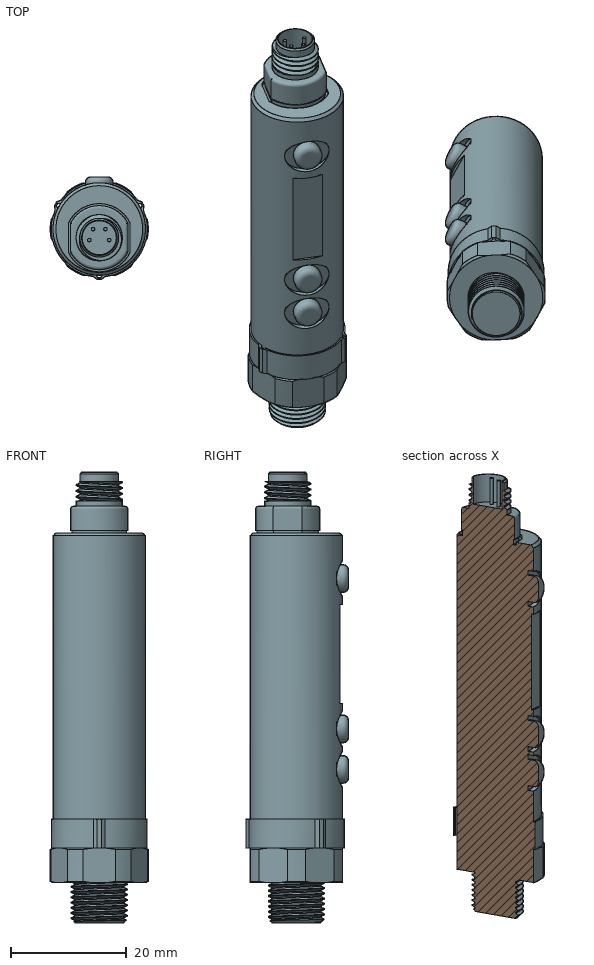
import cadquery as cq
import math

TOTAL_HEIGHT = 78.0
HEX_BOTTOM = 7.0
HEX_TOP = 13.0
RING_TOP = 18.0
BODY_TOP = 67.5
CONNECTOR_NUT_TOP = 72.1
M8_COLLAR_TOP = 73.0
CONNECTOR_THREAD_TOP = 76.4

PIPE_CREST_RADIUS = 4.864
PIPE_ROOT_RADIUS = 4.283
PIPE_PITCH = 0.907
PIPE_END_CHAMFER = 0.75
PIPE_START_ANGLE = 200.0

BODY_RADIUS = 8.0

HEX_ACROSS_FLATS = 16.0
HEX_CORNER_RADIUS = 8.49
HEX_CHAMFER_HEIGHT = 0.25
HEX_END_RADIUS = 8.05
RING_RADIUS = 8.3
RIB_TIP_RADIUS = 8.72
BAND_THICKNESS = RING_RADIUS - BODY_RADIUS
RIB_BASE_WIDTH = 2.16
RIB_TIP_WIDTH = 0.76
RIB_ANGLES = (30, 150, 270)

BODY_CHAMFER = 0.5
WINDOW_BOTTOM = 38.0
WINDOW_TOP = 55.1
WINDOW_PLANE_Y = 7.55

BUTTON_HEIGHTS = (26.6, 33.6, 59.6)
BUTTON_RADIUS = 2.4
BUTTON_TOP_Y = BODY_RADIUS + 1.02
BUTTON_FILLET = 0.95
POCKET_HALF_WIDTH = 3.95
POCKET_HALF_HEIGHT = 3.15
POCKET_FLOOR_Y = 6.9

CONNECTOR_Y = -1.5
NUT_RADIUS = 5.55
NUT_ACROSS_FLATS = 9.9
NUT_FILLET = 0.5
NUT_NECK_INSET = 0.2
NUT_NECK_HEIGHT = 0.4
NUT_CLEARANCE = 0.35
NUT_RECESS_DEPTH = 0.5
M8_CREST_RADIUS = 4.0
M8_ROOT_RADIUS = 3.35
M8_PITCH = 1.0
M8_START_ANGLE = 90.0
TIP_CHAMFER = 0.3
SOCKET_RADIUS = 2.95
SOCKET_DEPTH = 5.0
KEY_WIDTH = 1.4
KEY_DEPTH = 0.1
PIN_RADIUS = 0.3
PIN_SETBACK = 0.35
PIN_POSITIONS = ((-1.07, 1.49), (1.07, 1.49), (-1.72, -0.4), (1.72, -0.4))

ROOT_HALF_WIDTH = 0.45
CREST_HALF_WIDTH = 0.06

OVERLAP = 0.1


def cylinder(radius, bottom, top, y=0.0):
    """Vertical cylinder between two heights."""
    return cq.Workplane("XY", origin=(0, y, bottom)).circle(radius).extrude(top - bottom)


def thread(crest_radius, root_radius, pitch, bottom, top, start_angle, left_handed=False):
    """V thread on a core, trimmed between two heights."""
    inner_radius = root_radius - OVERLAP
    root_half = ROOT_HALF_WIDTH * pitch
    crest_half = CREST_HALF_WIDTH * pitch
    start = bottom - pitch
    path = cq.Wire.makeHelix(
        pitch,
        top - bottom + 2 * pitch,
        inner_radius,
        cq.Vector(0, 0, start),
        lefthand=left_handed,
    )
    profile = cq.Workplane("XZ", origin=(0, 0, start)).polyline([
        (inner_radius, -root_half),
        (crest_radius, -crest_half),
        (crest_radius, crest_half),
        (inner_radius, root_half),
    ]).close()
    ridge = profile.sweep(cq.Workplane(path), isFrenet=True)
    ridge = ridge.rotate((0, 0, 0), (0, 0, 1), start_angle)
    ridge = ridge.intersect(cylinder(crest_radius + OVERLAP, bottom, top))
    return cylinder(root_radius, bottom, top).union(ridge)


def pipe_thread():
    """G1/8 thread with a chamfered free end."""
    envelope = cylinder(PIPE_CREST_RADIUS + OVERLAP, 0, HEX_BOTTOM)
    envelope = envelope.faces("<Z").chamfer(PIPE_END_CHAMFER + OVERLAP)
    threaded = thread(PIPE_CREST_RADIUS, PIPE_ROOT_RADIUS, PIPE_PITCH, 0, HEX_BOTTOM, PIPE_START_ANGLE)
    return threaded.intersect(envelope)


def hexagon():
    """Wrench hexagon with turned corners and chamfered ends."""
    corner_diameter = HEX_ACROSS_FLATS / math.cos(math.radians(30))
    prism = cq.Workplane("XY", origin=(0, 0, HEX_BOTTOM)).polygon(6, corner_diameter)
    prism = prism.extrude(HEX_TOP - HEX_BOTTOM)
    turned = cq.Workplane("XZ").polyline([
        (0, HEX_BOTTOM),
        (HEX_END_RADIUS, HEX_BOTTOM),
        (HEX_CORNER_RADIUS, HEX_BOTTOM + HEX_CHAMFER_HEIGHT),
        (HEX_CORNER_RADIUS, HEX_TOP - HEX_CHAMFER_HEIGHT),
        (HEX_END_RADIUS, HEX_TOP),
        (0, HEX_TOP),
    ]).close().revolve(360, (0, 0, 0), (0, 1, 0))
    return prism.intersect(turned)


def rib_prism(inner_radius, base_radius, tip_radius, base_width, tip_width):
    """Tapered rib along the ring, pointing to +X."""
    return cq.Workplane("XY", origin=(0, 0, HEX_TOP)).polyline([
        (inner_radius, -base_width / 2),
        (base_radius, -base_width / 2),
        (tip_radius, -tip_width / 2),
        (tip_radius, tip_width / 2),
        (base_radius, base_width / 2),
        (inner_radius, base_width / 2),
    ]).close().extrude(RING_TOP - HEX_TOP)


def locating_ring():
    """Band around the sleeve, bent outward into three hollow ribs."""
    ring = cylinder(RING_RADIUS, HEX_TOP, RING_TOP)
    sleeve = cylinder(BODY_RADIUS, HEX_TOP, RING_TOP)
    rib = rib_prism(
        BODY_RADIUS - OVERLAP,
        RING_RADIUS - OVERLAP,
        RIB_TIP_RADIUS,
        RIB_BASE_WIDTH,
        RIB_TIP_WIDTH,
    )
    cavity = rib_prism(
        BODY_RADIUS - OVERLAP,
        BODY_RADIUS,
        RIB_TIP_RADIUS - BAND_THICKNESS,
        RIB_BASE_WIDTH - 4 * BAND_THICKNESS,
        RIB_TIP_WIDTH - BAND_THICKNESS,
    ).cut(sleeve)
    for angle in RIB_ANGLES:
        ring = ring.union(rib.rotate((0, 0, 0), (0, 0, 1), angle))
        ring = ring.cut(cavity.rotate((0, 0, 0), (0, 0, 1), angle))
    return ring


def side_cylinder(radius, height, inner_y, outer_y):
    """Cylinder along +Y at a given height, between two Y positions."""
    return cq.Workplane("XZ", origin=(0, inner_y, height)).circle(radius).extrude(inner_y - outer_y)


def housing():
    """Cylindrical housing with a flat window and three recessed push buttons."""
    body = cylinder(BODY_RADIUS, RING_TOP, BODY_TOP).faces(">Z").chamfer(BODY_CHAMFER)
    window_depth = BODY_RADIUS - WINDOW_PLANE_Y
    window = cq.Workplane("XY", origin=(0, WINDOW_PLANE_Y + window_depth / 2, WINDOW_BOTTOM)).rect(
        2 * BODY_RADIUS, window_depth).extrude(WINDOW_TOP - WINDOW_BOTTOM)
    body = body.cut(window)
    for height in BUTTON_HEIGHTS:
        pocket = cq.Workplane("XZ", origin=(0, POCKET_FLOOR_Y, height))
        pocket = pocket.ellipse(POCKET_HALF_WIDTH, POCKET_HALF_HEIGHT)
        body = body.cut(pocket.extrude(POCKET_FLOOR_Y - BUTTON_TOP_Y))
        button = side_cylinder(BUTTON_RADIUS, height, POCKET_FLOOR_Y - OVERLAP, BUTTON_TOP_Y)
        body = body.union(button.faces(">Y").edges().fillet(BUTTON_FILLET))
    return body


def two_flat_prism(radius, across_flats, bottom, top):
    """Connector-centred round bar with two flats facing -X and +X."""
    flats = cq.Workplane("XY", origin=(0, CONNECTOR_Y, bottom)).rect(across_flats, 2 * radius)
    return cylinder(radius, bottom, top, CONNECTOR_Y).intersect(flats.extrude(top - bottom))


def connector():
    """M8 plug: nut, threaded sleeve, keyed socket and contact pins."""
    neck_top = BODY_TOP + NUT_NECK_HEIGHT
    neck = two_flat_prism(
        NUT_RADIUS - NUT_NECK_INSET,
        NUT_ACROSS_FLATS - 2 * NUT_NECK_INSET,
        BODY_TOP - NUT_RECESS_DEPTH,
        neck_top,
    )
    nut = two_flat_prism(NUT_RADIUS, NUT_ACROSS_FLATS, neck_top, CONNECTOR_NUT_TOP)
    nut = nut.faces(">Z").edges().fillet(NUT_FILLET).union(neck)
    sleeve = cylinder(M8_CREST_RADIUS, CONNECTOR_NUT_TOP, M8_COLLAR_TOP)
    sleeve = sleeve.union(thread(
        M8_CREST_RADIUS,
        M8_ROOT_RADIUS,
        M8_PITCH,
        M8_COLLAR_TOP,
        CONNECTOR_THREAD_TOP,
        M8_START_ANGLE,
        left_handed=True,
    ))
    tip = cylinder(M8_ROOT_RADIUS, CONNECTOR_THREAD_TOP, TOTAL_HEIGHT).faces(">Z").chamfer(TIP_CHAMFER)
    sleeve = sleeve.union(tip).translate((0, CONNECTOR_Y, 0))
    floor = TOTAL_HEIGHT - SOCKET_DEPTH
    socket = cylinder(SOCKET_RADIUS, floor, TOTAL_HEIGHT, CONNECTOR_Y)
    key = cq.Workplane("XY", origin=(0, CONNECTOR_Y + SOCKET_RADIUS, floor)).rect(KEY_WIDTH, 2 * KEY_DEPTH)
    socket = socket.cut(key.extrude(SOCKET_DEPTH))
    plug = nut.union(sleeve).cut(socket)
    for x, y in PIN_POSITIONS:
        pin = cylinder(PIN_RADIUS, floor - OVERLAP, TOTAL_HEIGHT - PIN_SETBACK)
        plug = plug.union(pin.translate((x, y + CONNECTOR_Y, 0)))
    return plug


nut_recess = two_flat_prism(
    NUT_RADIUS + NUT_CLEARANCE,
    NUT_ACROSS_FLATS + 2 * NUT_CLEARANCE,
    BODY_TOP - NUT_RECESS_DEPTH,
    BODY_TOP,
)
result = housing().cut(nut_recess).union(connector())
result = result.union(locating_ring()).union(hexagon()).union(pipe_thread())